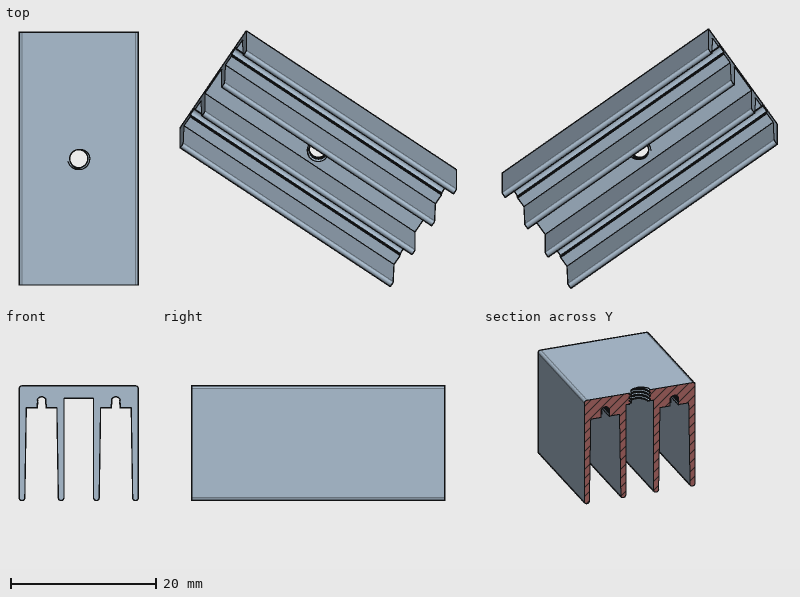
import cadquery as cq
import math

width = 16.4
length = 34.8
height = 15.8
corner_radius = 0.4

outer_base_depth = 3.05
center_base_depth = 1.75
center_channel_width = 4.05
fin_root = 1.0
fin_tip = 0.8
tip_radius = fin_tip / 2

slot_offset = 5.1
slot_width = 1.2
slot_top_depth = 1.53
slot_crown_depth = 1.98
tooth_count = 4
tooth_pitch = 0.15
tooth_height = 0.1

thread_pitch = 0.5
thread_major_radius = 1.52
thread_minor_radius = 1.23
groove_mouth = 0.34
groove_floor = 0.12
groove_overlap = 0.1
runout_turns = 2
thread_start_angle = 155


def serrated_wall():
    """Right wall of a screw slot, from its mouth up to the crown, as offsets from the slot axis."""
    half_slot = slot_width / 2
    points = [(half_slot, -outer_base_depth)]
    for tooth in reversed(range(tooth_count)):
        tooth_top = -slot_crown_depth - tooth * tooth_pitch
        points.append((half_slot, tooth_top - tooth_pitch))
        points.append((half_slot - tooth_height, tooth_top - tooth_pitch / 2))
    points.append((half_slot, -slot_crown_depth))
    return points


def half_profile():
    """Right half of the cross section, in X and Z, closed along the middle plane."""
    half_width = width / 2
    half_channel = center_channel_width / 2
    tip_start = -height + tip_radius
    right_wall = [(slot_offset + x, z) for x, z in serrated_wall()]
    left_wall = [(slot_offset - x, z) for x, z in reversed(serrated_wall())]
    corner_inset = corner_radius * (1 - math.sqrt(0.5))
    return (
        cq.Workplane("XZ")
        .moveTo(0, 0)
        .lineTo(half_width - corner_radius, 0)
        .threePointArc((half_width - corner_inset, -corner_inset), (half_width, -corner_radius))
        .lineTo(half_width, tip_start)
        .threePointArc((half_width - tip_radius, -height), (half_width - fin_tip, tip_start))
        .lineTo(half_width - fin_root, -outer_base_depth)
        .polyline(right_wall, includeCurrent=True)
        .threePointArc((slot_offset, -slot_top_depth), left_wall[0])
        .polyline(left_wall[1:], includeCurrent=True)
        .lineTo(half_channel + fin_root, -outer_base_depth)
        .lineTo(half_channel + fin_tip, tip_start)
        .threePointArc((half_channel + tip_radius, -height), (half_channel, tip_start))
        .lineTo(half_channel, -center_base_depth)
        .lineTo(0, -center_base_depth)
        .close()
    )


def make_body():
    """Full extrusion, symmetric about the YZ plane and centered along Y."""
    half = half_profile().extrude(length / 2, both=True)
    return half.union(half.mirror("YZ")).clean()


def thread_groove():
    """Helical groove cutter that runs out past both ends of the hole."""
    runout = runout_turns * thread_pitch
    helix_start = -center_base_depth - runout
    helix_height = center_base_depth + 2 * runout
    helix = cq.Wire.makeHelix(thread_pitch, helix_height, thread_minor_radius)
    flank_slope = (groove_mouth - groove_floor) / 2 / (thread_major_radius - thread_minor_radius)
    inner_half = groove_mouth / 2 + flank_slope * groove_overlap
    inner_radius = thread_minor_radius - groove_overlap
    groove = (
        cq.Workplane("XZ")
        .polyline([
            (inner_radius, -inner_half),
            (thread_major_radius, -groove_floor / 2),
            (thread_major_radius, groove_floor / 2),
            (inner_radius, inner_half),
        ])
        .close()
        .sweep(cq.Workplane("XY").add(helix), isFrenet=True)
    )
    return groove.rotate((0, 0, 0), (0, 0, 1), thread_start_angle).translate((0, 0, helix_start))


def cut_tapped_hole(body):
    """Thread and bore of the hole in the middle of the top face."""
    drill = cq.Workplane("XY").circle(thread_minor_radius).extrude(-center_base_depth)
    return body.cut(thread_groove()).cut(drill)


result = cut_tapped_hole(make_body())